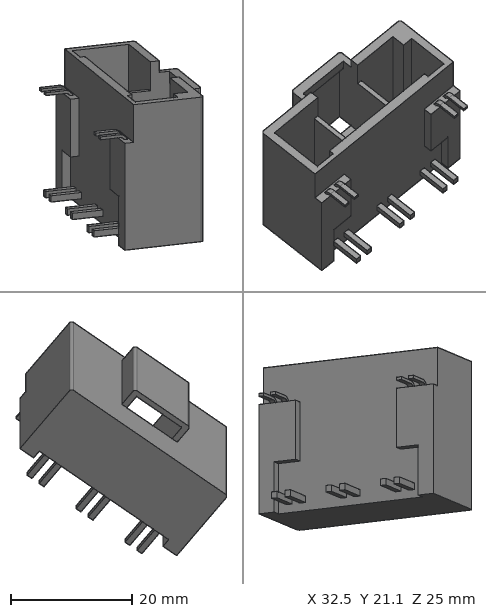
import cadquery as cq

body_width = 32.52
body_height = 25.0
body_depth = 12.35
corner_radius = 0.5

lug_depth = 1.55
lug_top = 18.5
lug_step_height = 8.5
lug_inner_x = 9.4
lug_foot_inner_x = 13.42
front_y = -(body_depth + lug_depth)

cavity_width = 29.7
cavity_floor = 7.0
cavity_back_y = -1.6
cavity_front_y = -11.52
ledge_thickness = 0.83
ledge_width = 22.34
key_width = 1.9
key_depth = 2.48

bridge_width = 11.5
bridge_projection = 3.5
bridge_bottom = 7.0
bridge_top = 23.0
bridge_wall = 1.75
window_width = 9.38
catch_height = 2.0
catch_depth = 0.85

rib_thickness = 0.83
rib_top = 20.0

pin_width = 1.0
pin_height = 1.1
pin_centre_z = 1.95
pin_reach = 3.75
pin_pair_pitch = 2.5
pin_group_pitch = 10.16

terminal_width = 0.92
terminal_thickness = 0.5
terminal_top = lug_top + 0.95
terminal_bend_radius = 1.5
terminal_bend_y = front_y - 0.2
terminal_reach = 3.55
terminal_centres_x = (11.74, 13.94)


def box(x_range, y_range, z_range):
    """Axis-aligned box between pairs of limits."""
    size_x = x_range[1] - x_range[0]
    size_y = y_range[1] - y_range[0]
    size_z = z_range[1] - z_range[0]
    corner = (x_range[0], y_range[0], z_range[0])
    return cq.Workplane("XY").box(size_x, size_y, size_z, centered=False).translate(corner)


def centred(width, middle=0.0):
    """Limits of a given width about a middle value."""
    return (middle - width / 2, middle + width / 2)


def make_block():
    block = box(centred(body_width), (-body_depth, 0), (0, body_height))
    return block.edges("|Z and >Y").fillet(corner_radius)


def make_lug():
    """Lug at the +X end: wide above, narrowed to a foot below the step."""
    outer_x = body_width / 2
    return (
        cq.Workplane("XZ", origin=(0, -body_depth, 0))
        .moveTo(outer_x, 0)
        .lineTo(outer_x, lug_top)
        .lineTo(lug_inner_x, lug_top)
        .lineTo(lug_inner_x, lug_step_height)
        .lineTo(lug_foot_inner_x, lug_step_height)
        .lineTo(lug_foot_inner_x, 0)
        .close()
        .extrude(lug_depth)
    )


def make_cavity():
    z_range = (cavity_floor, body_height)
    right_x = cavity_width / 2
    ledge_y = cavity_front_y + ledge_thickness
    cavity = box(centred(cavity_width), (cavity_front_y, cavity_back_y), z_range)
    ledge = box(centred(ledge_width), (cavity_front_y, ledge_y), z_range)
    key = box((right_x - key_width, right_x), (cavity_back_y - key_depth, cavity_back_y), z_range)
    return cavity.cut(ledge).cut(key)


def make_bridge():
    bridge = box(centred(bridge_width), (0, bridge_projection), (bridge_bottom, bridge_top))
    return bridge.edges("|Z and >Y").fillet(corner_radius)


def make_latch_window():
    """Opening through the back wall and the bridge, leaving a catch at the bridge top."""
    catch_face_y = bridge_projection - bridge_wall
    window = box(centred(window_width), (cavity_back_y, catch_face_y), (cavity_floor, body_height))
    undercut = box(
        centred(window_width),
        (catch_face_y, catch_face_y + catch_depth),
        (bridge_bottom, bridge_top - catch_height),
    )
    return window.union(undercut)


def make_rib():
    """Rib on the +X side of the latch window, spanning the cavity from ledge to back wall."""
    inner_x = window_width / 2
    ledge_y = cavity_front_y + ledge_thickness
    return box((inner_x, inner_x + rib_thickness), (ledge_y, cavity_back_y), (cavity_floor, rib_top))


def make_pin(centre_x):
    y_range = (front_y - pin_reach, -body_depth)
    return box(centred(pin_width, centre_x), y_range, centred(pin_height, pin_centre_z))


def make_terminal(centre_x):
    """Flat terminal that turns through a quarter circle from the lug to point towards -Y."""
    centre_z = terminal_top - terminal_bend_radius
    inner_radius = terminal_bend_radius - terminal_thickness
    tip_y = front_y - terminal_reach
    diagonal = 0.5**0.5
    outer_mid = terminal_bend_radius * diagonal
    inner_mid = inner_radius * diagonal
    return (
        cq.Workplane("YZ", origin=(centre_x, 0, 0))
        .moveTo(tip_y, terminal_top)
        .lineTo(terminal_bend_y, terminal_top)
        .threePointArc(
            (terminal_bend_y + outer_mid, centre_z + outer_mid),
            (terminal_bend_y + terminal_bend_radius, centre_z),
        )
        .lineTo(terminal_bend_y + inner_radius, centre_z)
        .threePointArc(
            (terminal_bend_y + inner_mid, centre_z + inner_mid),
            (terminal_bend_y, centre_z + inner_radius),
        )
        .lineTo(tip_y, terminal_top - terminal_thickness)
        .close()
        .extrude(terminal_width / 2, both=True)
    )


def with_mirror(shape):
    """Shape together with its mirror image across x = 0."""
    return shape.union(shape.mirror("YZ"))


result = make_block().union(with_mirror(make_lug())).union(make_bridge())
result = result.cut(make_cavity()).cut(make_latch_window())
result = result.union(with_mirror(make_rib()))

for group in (-1, 0, 1):
    for side in (-1, 1):
        result = result.union(make_pin(group * pin_group_pitch + side * pin_pair_pitch / 2))

for terminal_x in terminal_centres_x:
    result = result.union(with_mirror(make_terminal(terminal_x)))